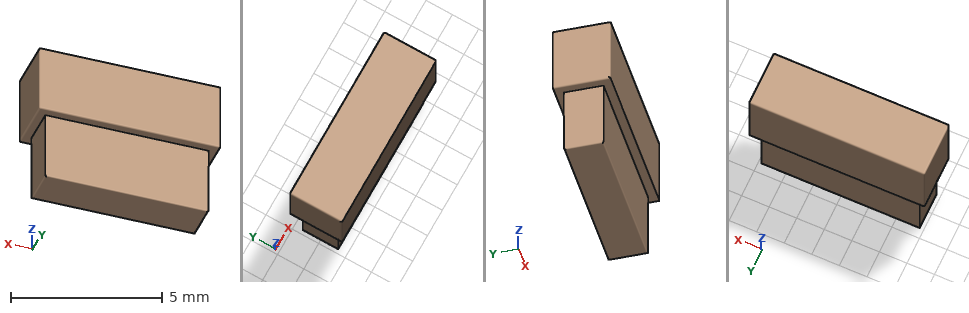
import cadquery as cq

length = 6.38
depth = 1.99
height = 5.0

head_height = height / 2
overhang = 0.32
stem_length = length - 2 * overhang
stem_depth = depth - 2 * overhang
stem_height = height - head_height

head_radius = 0.065
stem_radius = 0.05


def make_head():
    """Upper block, rounded around both ends and around the back face."""
    head = cq.Workplane("XY").box(length, depth, head_height, centered=(True, True, False))
    rounded_edges = head.faces("<X or >X or >Y").edges()
    return rounded_edges.fillet(head_radius).translate((0, 0, stem_height))


def make_stem():
    """Lower block, rounded around its bottom face and joined to the head."""
    stem = cq.Workplane("XY").box(stem_length, stem_depth, stem_height, centered=(True, True, False))
    return stem.faces("<Z").edges().fillet(stem_radius)


result = make_head().union(make_stem())